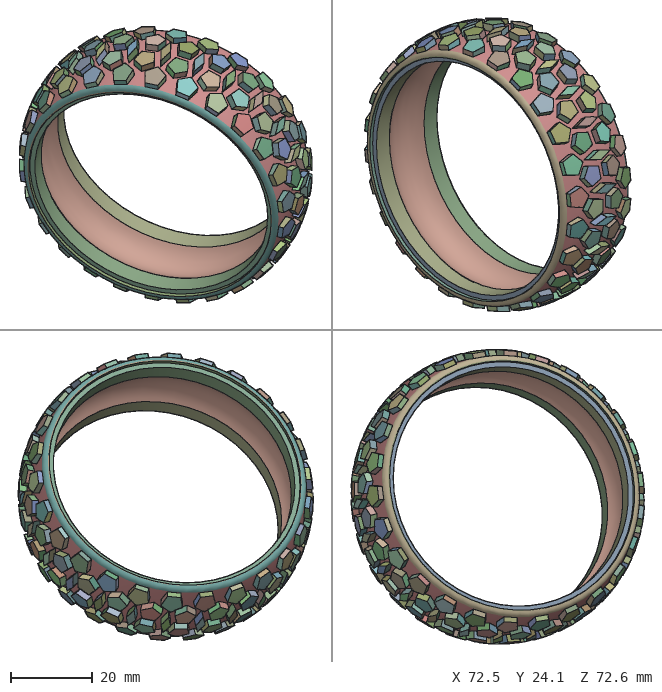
import cadquery as cq
import math

outer_radius = 36.3
half_width = 12.05
tread_depth = 1.9
crown_arc_radius = 30.5
tread_arc_radius = 43.6
edge_fillet = 1.4

bore_diameter = 60.3
seat_diameter = 62.8
seat_depth = 1.0
cavity_half_width = 6.3
cavity_depth = 2.75

lugs_around = 26
shoulder_pentagon_radius = 2.8
inner_pentagon_radius = 2.75
inner_offset = 4.1
inner_gap = 1.45
shoulder_edge = 10.9
diamond_half_length = 3.85
diamond_half_width = 1.2
lug_root = 0.5

bore_radius = bore_diameter / 2
seat_radius = seat_diameter / 2
tread_radius = outer_radius - tread_depth
pitch_angle = 360 / lugs_around


def arc_height(top_radius, arc_radius, y):
    """Distance from the tire axis, at position y, to a cross arc that peaks at top_radius."""
    return top_radius - arc_radius + math.sqrt(arc_radius**2 - y**2)


def revolve_about_y(profile):
    return profile.close().revolve(360, (0, 0, 0), (0, 1, 0))


def crowned_disc(top_radius, arc_radius):
    """Solid disc about Y whose rim is an arc across the width."""
    edge = arc_height(top_radius, arc_radius, half_width)
    profile = (
        cq.Workplane("XY")
        .moveTo(0, -half_width)
        .lineTo(edge, -half_width)
        .threePointArc((top_radius, 0), (edge, half_width))
        .lineTo(0, half_width)
    )
    return revolve_about_y(profile)


def bore_cutter():
    """Bore with a shallow seat at each end and a round cavity in the middle."""
    seat_floor = half_width - seat_depth
    profile = (
        cq.Workplane("XY")
        .moveTo(0, -half_width)
        .lineTo(seat_radius, -half_width)
        .lineTo(seat_radius, -seat_floor)
        .lineTo(bore_radius, -seat_floor)
        .lineTo(bore_radius, -cavity_half_width)
        .threePointArc((bore_radius + cavity_depth, 0), (bore_radius, cavity_half_width))
        .lineTo(bore_radius, seat_floor)
        .lineTo(seat_radius, seat_floor)
        .lineTo(seat_radius, half_width)
        .lineTo(0, half_width)
    )
    return revolve_about_y(profile)


def pentagon(radius, center_x, center_y, point_direction):
    """Corners of a regular pentagon with one corner pointing along +Y or -Y."""
    angles = [math.radians(72 * i) for i in range(5)]
    return [
        (center_x + radius * math.sin(a), center_y + point_direction * radius * math.cos(a))
        for a in angles
    ]


def lug(corners):
    """Straight-walled block at the top of the tire, trimmed to the crown."""
    farthest_y = max(abs(y) for _, y in corners)
    base = arc_height(tread_radius, tread_arc_radius, farthest_y) - lug_root
    farthest_x = max(abs(x) for x, _ in corners)
    base = math.sqrt(base**2 - farthest_x**2)
    block = cq.Workplane("XY").workplane(offset=base).polyline(corners).close().extrude(outer_radius - base)
    return block.intersect(crown)


crown = crowned_disc(outer_radius, crown_arc_radius)
disc = crowned_disc(tread_radius, tread_arc_radius)
body = disc.edges("%CIRCLE").fillet(edge_fillet).cut(bore_cutter())

diamond = [
    (diamond_half_width, 0),
    (0, diamond_half_length),
    (-diamond_half_width, 0),
    (0, -diamond_half_length),
]
inradius_ratio = math.cos(math.pi / 5)
inner_center = inner_gap + inner_pentagon_radius * inradius_ratio
shoulder_center = shoulder_edge - shoulder_pentagon_radius * inradius_ratio

repeat = [lug(diamond)]
for side in (1, -1):
    repeat.append(lug(pentagon(shoulder_pentagon_radius, 0, side * shoulder_center, -side)))
    repeat.append(lug(pentagon(inner_pentagon_radius, -inner_offset, side * inner_center, side)))

lugs = [
    block.rotate((0, 0, 0), (0, 1, 0), i * pitch_angle).val()
    for i in range(lugs_around)
    for block in repeat
]

result = cq.Workplane("XY").newObject([body.val().fuse(*lugs)])